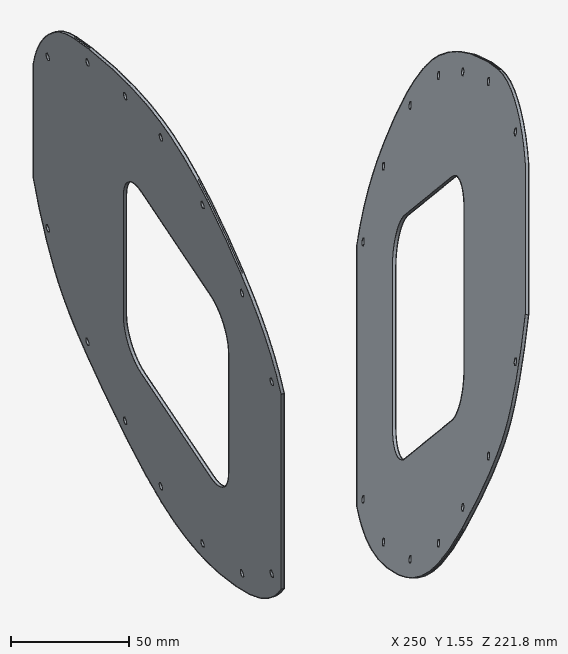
import cadquery as cq

plate_length = 250.0
plate_height = 221.8
plate_thickness = 1.55
left_edge_height = 66.0
right_edge_height = 113.8

window_size = 106.0
window_corner_radius = 18.0
window_center_x = 19.0

hole_diameter = 3.2
upper_holes = [
    (-110.2, 50.0),
    (-70.2, 81.5),
    (-32.2, 94.8),
    (3.8, 101.8),
    (45.8, 98.8),
    (85.5, 81.8),
    (115.5, 56.0),
]

half_length = plate_length / 2
half_height = plate_height / 2
left_corner_z = left_edge_height / 2
right_corner_z = right_edge_height / 2
crown_x = 13.2

shared_rim = [
    (106.2, 78.5),
    (79.0, 94.8),
    (45.0, 107.0),
    (crown_x, half_height),
    (-22.5, 106.0),
    (-50.0, 97.8),
    (-76.5, 87.2),
]
upper_shoulder = [(-97.5, 75.5), (-110.8, 62.2), (-118.8, 50.0)]
lower_shoulder = [(-97.2, -74.5), (-110.8, -59.2)]
lower_flank_end = (-118.8, -46.2)


def mirrored(points):
    """Reflect (x, z) points across the mid-height line."""
    return [(x, -z) for x, z in points]


def make_plate():
    """Flat plate with two straight ends joined by curved upper and lower rims."""
    upper_rim = shared_rim + upper_shoulder + [(-half_length, left_corner_z)]
    lower_rim = lower_shoulder[::-1] + mirrored(shared_rim)[::-1] + [(half_length, -right_corner_z)]
    return (
        cq.Workplane("XZ")
        .moveTo(half_length, right_corner_z)
        .spline(upper_rim, includeCurrent=True)
        .lineTo(-half_length, -left_corner_z)
        .lineTo(*lower_flank_end)
        .spline(lower_rim, includeCurrent=True)
        .close()
        .extrude(plate_thickness / 2, both=True)
    )


def make_window():
    """Square opening with rounded corners."""
    return (
        cq.Workplane("XZ")
        .center(window_center_x, 0)
        .rect(window_size, window_size)
        .extrude(plate_thickness, both=True)
        .edges("|Y")
        .fillet(window_corner_radius)
    )


def make_holes():
    """Cylinders for the row of fastener holes along both rims."""
    return (
        cq.Workplane("XZ")
        .pushPoints(upper_holes + mirrored(upper_holes))
        .circle(hole_diameter / 2)
        .extrude(plate_thickness, both=True)
    )


result = make_plate().cut(make_window()).cut(make_holes())